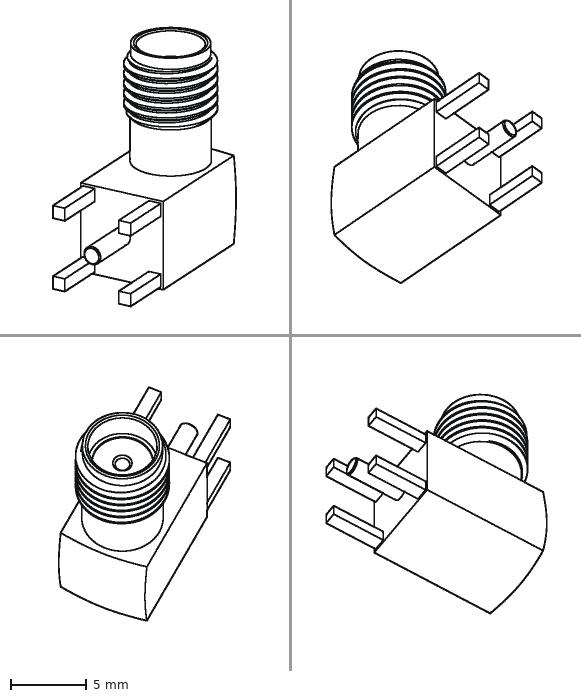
import cadquery as cq
import math


body_side = 6.35
body_length = 9.55
half_side = body_side / 2
body_front = half_side - body_length
corner_drop = 0.3
corner_reach = half_side * math.sqrt(2)

total_height = 14.8
barrel_radius = 2.71
spigot_radius = 2.66

thread_bottom = 9.66
thread_top = 14.0
crest_radius = 3.12
root_radius = 2.77
pitch = 0.706
root_flat = 0.15
flank_angle = math.radians(30)
groove_mid_height = 11.81
groove_overrun = 0.09

socket_radius = 2.3
socket_depth = 1.92
mouth_radius = 2.45
mouth_depth = 0.09
recess_radius = 2.03
recess_depth = 0.12
contact_hole_radius = 0.49
contact_mouth_radius = 0.64
contact_hole_depth = 2.22

pin_length = 3.95
leg_width = 0.92
leg_spacing = 5.08
centre_pin_radius = 0.64
centre_pin_chamfer = 0.09


def cylinder(radius, bottom, top):
    """Cylinder on the barrel axis."""
    return cq.Workplane("XY").workplane(offset=bottom).circle(radius).extrude(top - bottom)


def make_body():
    """Square block whose rear corners are turned off by a shallow cone."""
    block = cq.Workplane("XY").box(body_side, body_length, body_side, centered=(True, False, False))
    block = block.translate((0, body_front, 0))
    turned_envelope = (
        cq.Workplane("XY")
        .moveTo(0, body_front)
        .lineTo(corner_reach, body_front)
        .lineTo(corner_reach, half_side - corner_drop)
        .lineTo(half_side, half_side)
        .lineTo(0, half_side)
        .close()
        .revolve(360, (0, 0, 0), (0, 1, 0))
        .translate((0, 0, half_side))
    )
    return block.intersect(turned_envelope)


def make_thread():
    """Cylinder with 45 degree ends, cut by a right-handed helical groove."""
    bottom_chamfer = crest_radius - barrel_radius
    top_chamfer = crest_radius - spigot_radius
    blank = (
        cq.Workplane("XZ")
        .moveTo(0, thread_bottom)
        .lineTo(barrel_radius, thread_bottom)
        .lineTo(crest_radius, thread_bottom + bottom_chamfer)
        .lineTo(crest_radius, thread_top - top_chamfer)
        .lineTo(spigot_radius, thread_top)
        .lineTo(0, thread_top)
        .close()
        .revolve(360, (0, 0, 0), (0, 1, 0))
    )
    outer_radius = crest_radius + groove_overrun
    root_half = root_flat / 2
    mouth_half = root_half + (outer_radius - root_radius) * math.tan(flank_angle)
    one_turn = cq.Wire.makeHelix(pitch, pitch, root_radius)
    groove_turn = (
        cq.Workplane("XZ")
        .polyline([
            (root_radius, -root_half),
            (outer_radius, -mouth_half),
            (outer_radius, mouth_half),
            (root_radius, root_half),
        ])
        .close()
        .sweep(cq.Workplane(obj=one_turn), isFrenet=True)
    )
    turns_below = math.ceil((groove_mid_height - thread_bottom) / pitch)
    turns_above = math.ceil((thread_top - groove_mid_height) / pitch)
    thread = blank
    for turn in range(-turns_below, turns_above):
        thread = thread.cut(groove_turn.translate((0, 0, groove_mid_height + turn * pitch)))
    return thread


def make_socket():
    """Stepped bore with a bevelled mouth and a countersunk contact hole."""
    floor = total_height - socket_depth
    recess_floor = floor - recess_depth
    countersink_floor = recess_floor - (contact_mouth_radius - contact_hole_radius)
    return (
        cq.Workplane("XZ")
        .moveTo(0, total_height)
        .lineTo(mouth_radius, total_height)
        .lineTo(socket_radius, total_height - mouth_depth)
        .lineTo(socket_radius, floor)
        .lineTo(recess_radius, floor)
        .lineTo(recess_radius, recess_floor)
        .lineTo(contact_mouth_radius, recess_floor)
        .lineTo(contact_hole_radius, countersink_floor)
        .lineTo(contact_hole_radius, recess_floor - contact_hole_depth)
        .lineTo(0, recess_floor - contact_hole_depth)
        .close()
        .revolve(360, (0, 0, 0), (0, 1, 0))
    )


def make_pins():
    """Four square legs around a round centre pin."""
    pin_plane = cq.Workplane("XZ", origin=(0, body_front, half_side))
    legs = pin_plane.rect(leg_spacing, leg_spacing, forConstruction=True).vertices()
    legs = legs.rect(leg_width, leg_width).extrude(pin_length)
    centre_pin = pin_plane.circle(centre_pin_radius).extrude(pin_length)
    centre_pin = centre_pin.faces("<Y").chamfer(centre_pin_chamfer)
    return legs.add(centre_pin)


result = make_body()
result = result.union(cylinder(barrel_radius, half_side, thread_bottom))
result = result.union(make_thread())
result = result.union(cylinder(spigot_radius, thread_top, total_height))
result = result.cut(make_socket())
for pin in make_pins().vals():
    result = result.union(cq.Workplane(obj=pin))